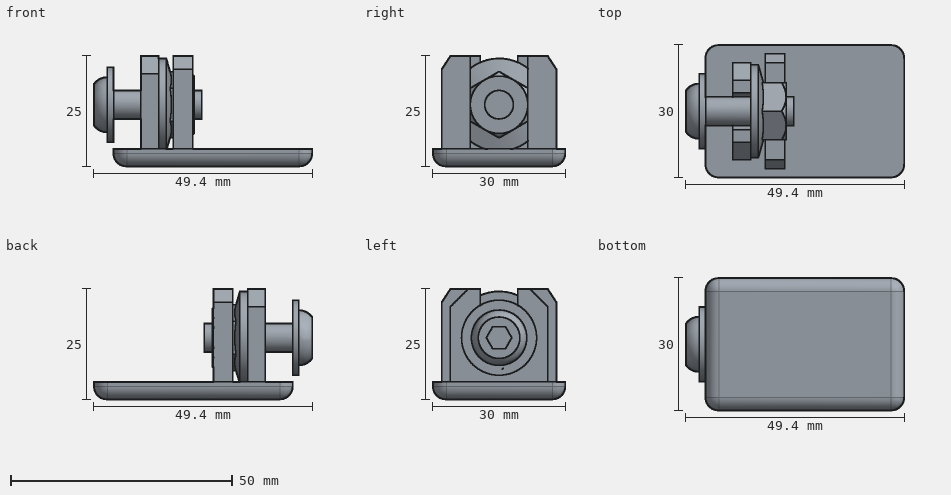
import cadquery as cq
import math


base_length = 45.0
base_width = 30.0
base_thickness = 4.0
corner_radius = 3.0
fillet_clearance = 0.005

lug_height = 21.0
front_lug_x = 6.2
front_lug_thickness = 4.0
front_lug_width = 22.0
front_chamfer = 4.0
front_slot_width = 8.4
rear_lug_x = 13.55
rear_lug_thickness = 4.45
rear_lug_width = 26.0
rear_chamfer_width = 2.0
rear_chamfer_height = 3.0

axis_height = 10.0
shank_radius = 6.45 / 2
bolt_length = 24.45
bolt_start_x = base_length - 49.4
dome_length = 3.0
dome_base_radius = 6.25
dome_face_radius = 4.7
collar_radius = 17.0 / 2
collar_thickness = 1.45
socket_flats = 5.0
socket_depth = 2.5

nut_x = front_lug_x + front_lug_thickness
nut_length = 8.05
nut_flats = 13.0
flange_radius = 21.0 / 2
flange_rim = 1.8
flange_cone_length = 1.15
flange_cone_end_radius = nut_flats / 2
countersink_radius = 8.0 / 2
nut_face_radius = nut_flats / 2
nut_chamfer_length = 1.0


def hex_diameter(flats):
    """Distance across the corners of a hexagon."""
    return flats / math.cos(math.radians(30))


def cross_plane(x):
    """Plane across the bolt axis: local x is Y, local y is Z, and extrusion runs along +X."""
    return cq.Workplane("YZ", origin=(x, 0, axis_height))


def turned(profile):
    """Revolve an XY profile, with Y as the radius, about X and lift it to the bolt axis."""
    return profile.close().revolve(360, (0, 0, 0), (1, 0, 0)).translate((0, 0, axis_height))


def make_lug(x, thickness, width, chamfer_width, chamfer_height):
    """Upright plate with both top corners cut off."""
    half = width / 2
    return (
        cq.Workplane("YZ", origin=(x, 0, 0))
        .moveTo(-half, 0)
        .lineTo(half, 0)
        .lineTo(half, lug_height - chamfer_height)
        .lineTo(half - chamfer_width, lug_height)
        .lineTo(chamfer_width - half, lug_height)
        .lineTo(-half, lug_height - chamfer_height)
        .close()
        .extrude(thickness)
    )


def make_front_lug():
    """Lug with an open slot, rounded at the bottom, for the bolt shank."""
    slot_radius = front_slot_width / 2
    slot_top = lug_height - axis_height
    lug = make_lug(front_lug_x, front_lug_thickness, front_lug_width, front_chamfer, front_chamfer)
    slot = (
        cross_plane(front_lug_x)
        .moveTo(-slot_radius, slot_top)
        .lineTo(-slot_radius, 0)
        .threePointArc((0, -slot_radius), (slot_radius, 0))
        .lineTo(slot_radius, slot_top)
        .close()
        .extrude(front_lug_thickness)
    )
    return lug.cut(slot)


def make_rear_lug():
    """Lug parted down to the base by a slot that holds the nut by its flats."""
    lug = make_lug(
        rear_lug_x, rear_lug_thickness, rear_lug_width, rear_chamfer_width, rear_chamfer_height
    )
    slot = cq.Workplane("XY", origin=(rear_lug_x, 0, 0)).box(
        rear_lug_thickness, nut_flats, lug_height, centered=(False, True, False)
    )
    return lug.cut(slot)


def make_flange():
    """Solid round flange with a conical rear side."""
    cone_start_x = nut_x + flange_rim
    cone_end_x = cone_start_x + flange_cone_length
    return turned(
        cq.Workplane("XY")
        .moveTo(nut_x, 0)
        .lineTo(nut_x, flange_radius)
        .lineTo(cone_start_x, flange_radius)
        .lineTo(cone_end_x, flange_cone_end_radius)
        .lineTo(cone_end_x, 0)
    )


def make_bracket():
    """Base with rounded lower edges, two slotted lugs and a shallow recess for the nut flange."""
    base = (
        cq.Workplane("XY", origin=(base_length / 2, 0, -base_thickness))
        .box(base_length, base_width, base_thickness, centered=(True, True, False))
        .edges("|Z")
        .fillet(corner_radius)
        .faces("<Z")
        .edges()
        .fillet(corner_radius - fillet_clearance)
    )
    return base.union(make_front_lug()).union(make_rear_lug()).cut(make_flange())


def make_bolt():
    """Button-head bolt with a collar and a hexagon socket."""
    collar_x = bolt_start_x + dome_length
    shank_x = collar_x + collar_thickness
    bolt_end_x = bolt_start_x + bolt_length
    dome_rise = dome_base_radius - dome_face_radius
    arc_radius = (dome_length**2 + dome_rise**2) / (2 * dome_rise)
    arc_centre_radius = dome_base_radius - arc_radius
    middle_angle = math.asin(dome_length / arc_radius) / 2
    dome_middle = (
        collar_x - arc_radius * math.sin(middle_angle),
        arc_centre_radius + arc_radius * math.cos(middle_angle),
    )
    body = turned(
        cq.Workplane("XY")
        .moveTo(bolt_start_x, 0)
        .lineTo(bolt_start_x, dome_face_radius)
        .threePointArc(dome_middle, (collar_x, dome_base_radius))
        .lineTo(collar_x, collar_radius)
        .lineTo(shank_x, collar_radius)
        .lineTo(shank_x, shank_radius)
        .lineTo(bolt_end_x, shank_radius)
        .lineTo(bolt_end_x, 0)
    )
    socket = cross_plane(bolt_start_x).polygon(6, hex_diameter(socket_flats)).extrude(socket_depth)
    return body.cut(socket)


def make_nut():
    """Hexagon nut with a flange, a countersunk bore and chamfered rear corners."""
    hexagon_radius = hex_diameter(nut_flats) / 2
    nut_end_x = nut_x + nut_length
    hexagon = (
        cross_plane(nut_x)
        .transformed(rotate=(0, 0, 30))
        .polygon(6, 2 * hexagon_radius)
        .extrude(nut_length)
    )
    chamfer_envelope = turned(
        cq.Workplane("XY")
        .moveTo(nut_x, 0)
        .lineTo(nut_x, hexagon_radius)
        .lineTo(nut_end_x - nut_chamfer_length, hexagon_radius)
        .lineTo(nut_end_x, nut_face_radius)
        .lineTo(nut_end_x, 0)
    )
    countersunk_bore = turned(
        cq.Workplane("XY")
        .moveTo(nut_x, 0)
        .lineTo(nut_x, countersink_radius)
        .lineTo(nut_x + countersink_radius - shank_radius, shank_radius)
        .lineTo(nut_end_x, shank_radius)
        .lineTo(nut_end_x, 0)
    )
    return hexagon.intersect(chamfer_envelope).union(make_flange()).cut(countersunk_bore)


bracket = make_bracket()
bolt = make_bolt()
nut = make_nut()

result = cq.Compound.makeCompound([bracket.val(), bolt.val(), nut.val()])